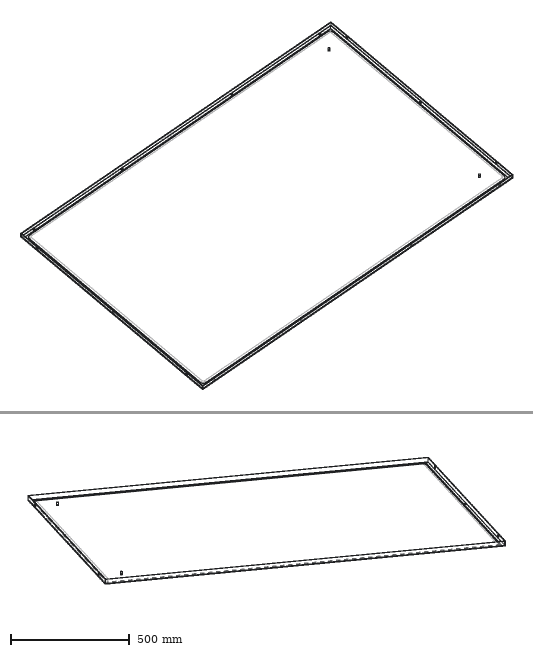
import cadquery as cq
import math

WIDTH = 1146.0
LENGTH = 1761.0
HEIGHT = 21.0

WALL_THICKNESS = 3.0
RAIL_WIDTH = 14.0
LEDGE_HEIGHT = 2.0

LEDGE_HOLE_DIAMETER = 9.0
LEDGE_HOLE_INSET = (WALL_THICKNESS + RAIL_WIDTH) / 2
SIDE_HOLE_OFFSETS = (-812.0, -312.0, 312.0, 812.0)
END_HOLE_OFFSETS = (0,)

CROSS_HOLE_DIAMETER = 9.0
CROSS_HOLE_Z = HEIGHT / 2
CROSS_HOLE_OFFSETS = (-470.0, 470.0)

BACKING_THICKNESS = 1.0

PANEL_MARGIN = 20.0
PANEL_CORNER_RADIUS = 15.0
PANEL_EDGE_HEIGHT = 0.7
BEVEL_WIDTH = 9.7
BEVEL_SLOPE = 10.0
BEVEL_HEIGHT = BEVEL_WIDTH * math.tan(math.radians(BEVEL_SLOPE))
PANEL_THICKNESS = PANEL_EDGE_HEIGHT + BEVEL_HEIGHT

PIN_DIAMETER = 9.0
PIN_TOP = 14.0
PIN_Y = 780.0
PIN_POSITIONS = [(-474.0, PIN_Y), (474.0, PIN_Y)]


def make_rail(length, depth_to_centre, ledge_holes, cross_holes):
    """Rail along the -Y edge of the frame, mitred at both ends.

    The profile runs along X, depth_to_centre is the distance from the outer face to the frame's
    centre line, and the hole lists give positions along X.
    """
    outer_y = -depth_to_centre
    profile = [
        (outer_y, 0),
        (outer_y, HEIGHT),
        (outer_y + WALL_THICKNESS, HEIGHT),
        (outer_y + WALL_THICKNESS, LEDGE_HEIGHT),
        (outer_y + RAIL_WIDTH, LEDGE_HEIGHT),
        (outer_y + RAIL_WIDTH, 0),
    ]
    bar = cq.Workplane("YZ").polyline(profile).close().extrude(length / 2, both=True)
    half = length / 2
    mitred_plan = (
        cq.Workplane("XY")
        .polyline(
            [
                (-half, outer_y),
                (half, outer_y),
                (half - RAIL_WIDTH, outer_y + RAIL_WIDTH),
                (-half + RAIL_WIDTH, outer_y + RAIL_WIDTH),
            ]
        )
        .close()
        .extrude(HEIGHT)
    )
    rail = bar.intersect(mitred_plan)
    ledge_drills = (
        cq.Workplane("XY")
        .pushPoints([(x, outer_y + LEDGE_HOLE_INSET) for x in ledge_holes])
        .circle(LEDGE_HOLE_DIAMETER / 2)
        .extrude(LEDGE_HEIGHT)
    )
    rail = rail.cut(ledge_drills)
    if cross_holes:
        cross_drills = (
            cq.Workplane("XZ", origin=(0, outer_y + WALL_THICKNESS, 0))
            .pushPoints([(x, CROSS_HOLE_Z) for x in cross_holes])
            .circle(CROSS_HOLE_DIAMETER / 2)
            .extrude(WALL_THICKNESS)
        )
        rail = rail.cut(cross_drills)
    return rail


def turn(body, angle):
    """Copy of a body turned about the frame's vertical centre axis."""
    return body.rotate((0, 0, 0), (0, 0, 1), angle)


def make_end_rail(angle):
    """Short rail with cross holes: angle 0 is the -Y end, 180 the +Y end."""
    return turn(make_rail(WIDTH, LENGTH / 2, END_HOLE_OFFSETS, CROSS_HOLE_OFFSETS), angle)


def make_side_rail(angle):
    """Long rail: angle 90 is the +X side, -90 the -X side."""
    return turn(make_rail(LENGTH, WIDTH / 2, SIDE_HOLE_OFFSETS, ()), angle)


def make_backing():
    """Thin sheet that fills the opening of the frame."""
    return cq.Workplane("XY").box(
        WIDTH - 2 * RAIL_WIDTH,
        LENGTH - 2 * RAIL_WIDTH,
        BACKING_THICKNESS,
        centered=(True, True, False),
    )


def make_panel():
    """Panel on the backing, with bevelled edges and holes that take the pins."""
    panel_width = WIDTH - 2 * PANEL_MARGIN
    panel_length = LENGTH - 2 * PANEL_MARGIN
    outline = cq.Sketch().rect(panel_width, panel_length).vertices().fillet(PANEL_CORNER_RADIUS)
    base = cq.Workplane("XY").placeSketch(outline).extrude(PANEL_EDGE_HEIGHT)
    bevel = (
        cq.Workplane("XY", origin=(0, 0, PANEL_EDGE_HEIGHT))
        .placeSketch(outline)
        .extrude(BEVEL_HEIGHT, taper=90 - BEVEL_SLOPE)
    )
    holes = (
        cq.Workplane("XY")
        .pushPoints(PIN_POSITIONS)
        .circle(PIN_DIAMETER / 2)
        .extrude(PANEL_THICKNESS)
    )
    return base.union(bevel).cut(holes).translate((0, 0, BACKING_THICKNESS))


def make_pin(position):
    """Round pin that stands on the backing and rises above the panel."""
    pin = cq.Workplane("XY", origin=(0, 0, BACKING_THICKNESS)).center(*position)
    return pin.circle(PIN_DIAMETER / 2).extrude(PIN_TOP - BACKING_THICKNESS)


end_rails = [make_end_rail(angle) for angle in (0, 180)]
side_rails = [make_side_rail(angle) for angle in (90, -90)]
backing = make_backing()
panel = make_panel()
pins = [make_pin(position) for position in PIN_POSITIONS]

bodies = [*end_rails, *side_rails, backing, panel, *pins]
result = cq.Compound.makeCompound([body.val() for body in bodies])